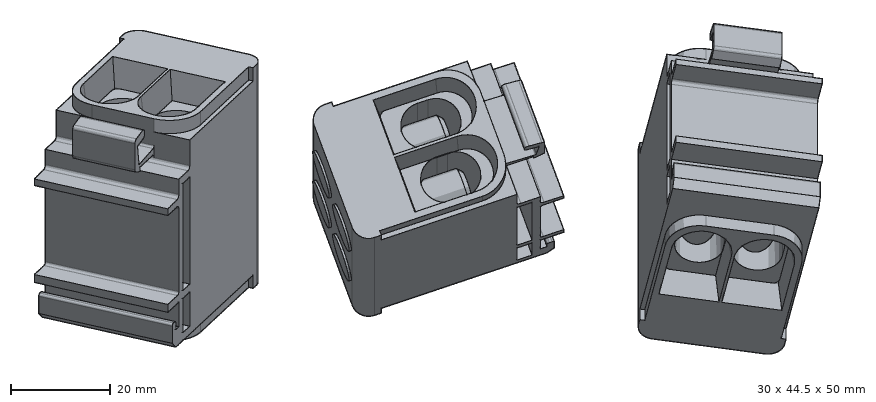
import cadquery as cq
import math


width = 30.0
depth = 34.0
height = 50.0
mid_height = height / 2
back_corner_radius = 3.5

cap_height = 3.0
cap_side_inset = 1.0
cap_length = 29.0
cap_corner_radius = 7.0

septum = 0.6
funnel_wall = 2.4
funnel_width = (width - septum) / 2 - funnel_wall
funnel_x = (septum + funnel_width) / 2
funnel_front = 1.5
funnel_back = 21.0
funnel_depth = 6.5
funnel_inset = 0.85
funnel_taper = math.degrees(math.atan(funnel_inset / funnel_depth))
relief_radius = 1.4

wire_x = 6.0
wire_y = 11.0
wire_width = 10.0
wire_length = 12.25
screw_diameter = 8.0
screw_tip_y = 7.5
screw_tip_chamfer = 1.0
screw_head_diameter = 10.0
screw_head_protrusion = 0.5
screw_spacing = 19.0

overlap = 1.0
wall = 1.8
web_outer = -5.0
web_inner = web_outer + wall
foot_bottom = cap_height
foot_top = 40.4
rib_tip = -10.0
upper_rib_bottom = 34.5
upper_rib_root_top = 36.2
upper_rib_tip_top = 36.0
upper_rib_fillet = 0.8
lower_rib_bottom = 12.55
lower_rib_top = lower_rib_bottom + wall
lower_rib_fillet = 0.6
hook_inner = -6.4
hook_outer = -8.0
hook_floor = 7.0
hook_top = 9.0
hook_chamfer = 1.6
hook_fillet = 0.5

clip_width = width - 2 * (cap_side_inset + cap_corner_radius)
groove_width = 1.6
groove_fillet = groove_width / 2
clip_bottom = foot_top + groove_width
clip_outer = -8.75
clip_tip = -4.4
clip_fillet = 0.8
clip_inner_fillet = 0.2
clip_root_fillet = 0.5
clip_root_top = 43.5
clip_root_margin = 2 * clip_root_fillet
clip_arm_end = -6.9
clip_arm_end_top = 42.8
clip_foot_y = -6.4
clip_foot_bottom = 41.0
clip_lower_corner = 41.9
clip_upper_corner = 49.05
clip_inner_corner_y = -7.6
clip_inner_corner_z = 47.25
clip_tip_bottom = 47.9


def rounded_prism(corners, length):
    """Prism centred on X whose YZ outline has corners (y, z, rounding radius)."""
    count = len(corners)
    outline = None
    for i, (y, z, radius) in enumerate(corners):
        corner = cq.Vector(y, z)
        to_previous = (cq.Vector(*corners[i - 1][:2]) - corner).normalized()
        to_next = (cq.Vector(*corners[(i + 1) % count][:2]) - corner).normalized()
        half_angle = to_previous.getAngle(to_next) / 2
        setback = radius / math.tan(half_angle)
        start = corner + to_previous * setback
        if outline is None:
            outline = cq.Workplane("YZ").moveTo(start.x, start.y)
        else:
            outline = outline.lineTo(start.x, start.y)
        if radius > 0:
            bisector = (to_previous + to_next).normalized()
            middle = corner + bisector * (radius / math.sin(half_angle) - radius)
            end = corner + to_next * setback
            outline = outline.threePointArc((middle.x, middle.y), (end.x, end.y))
    return outline.close().extrude(length / 2, both=True)


def slab(slab_width, front, back, bottom, top):
    """Box centred on X between the given Y and Z limits."""
    return cq.Workplane("XY", origin=(0, front, bottom)).box(
        slab_width, back - front, top - bottom, centered=(True, False, False)
    )


def make_housing():
    """Full-width core and back, with narrower rounded caps at the top and bottom."""
    core = slab(width, 0, depth, cap_height, height - cap_height)
    back = slab(width, cap_length, depth, 0, height)
    caps = slab(width - 2 * cap_side_inset, 0, depth, 0, height)
    caps = caps.edges("|Z and <Y").fillet(cap_corner_radius)
    housing = core.union(back).union(caps).clean()
    return housing.edges("|Z and >Y").fillet(back_corner_radius)


def make_funnel(side):
    """Tapered pocket in the top cap: square at the back, round at the front."""
    radius = funnel_width / 2
    arc_y = funnel_front + radius
    left = side * funnel_x - radius
    right = side * funnel_x + radius
    return (
        cq.Workplane("XY", origin=(0, 0, height))
        .moveTo(left, arc_y)
        .threePointArc((side * funnel_x, funnel_front), (right, arc_y))
        .lineTo(right, funnel_back)
        .lineTo(left, funnel_back)
        .close()
        .extrude(-funnel_depth, taper=funnel_taper)
    )


def make_corner_relief(side):
    """Through opening at the outer back corner of a funnel floor, bounded by a concave arc."""
    corner_x = side * (funnel_x + funnel_width / 2 - funnel_inset)
    corner_y = funnel_back - funnel_inset
    tangent_x = corner_x - side * relief_radius
    tangent_y = corner_y - relief_radius
    reach = relief_radius * math.sqrt(0.5)
    return (
        cq.Workplane("XY", origin=(0, 0, funnel_depth))
        .moveTo(tangent_x, corner_y)
        .lineTo(corner_x, corner_y)
        .lineTo(corner_x, tangent_y)
        .threePointArc((tangent_x + side * reach, tangent_y + reach), (tangent_x, corner_y))
        .close()
        .extrude(height - 2 * funnel_depth)
    )


def make_wire_passage(side):
    """Slot-shaped hole between the top and bottom funnel floors."""
    return (
        cq.Workplane("XY", origin=(side * wire_x, wire_y, funnel_depth))
        .slot2D(wire_length, wire_width, 90)
        .extrude(height - 2 * funnel_depth)
    )


def make_screw(x, z):
    """Clamping screw along Y with a chamfered tip and a head proud of the back face."""
    shank = (
        cq.Workplane("XZ", origin=(x, screw_tip_y, z))
        .circle(screw_diameter / 2)
        .extrude(screw_tip_y - depth)
        .faces("<Y")
        .chamfer(screw_tip_chamfer)
    )
    head = (
        cq.Workplane("XZ", origin=(x, depth - overlap, z))
        .circle(screw_head_diameter / 2)
        .extrude(-overlap - screw_head_protrusion)
    )
    return shank.union(head)


def make_rail_foot():
    """Web with two ribs and a hook, held off the housing by two windows."""
    foot = rounded_prism(
        [
            (overlap, foot_bottom, 0),
            (overlap, clip_bottom, 0),
            (0, clip_bottom, 0),
            (0, foot_top, groove_fillet),
            (web_outer, foot_top, 0),
            (web_outer, upper_rib_root_top, upper_rib_fillet),
            (rib_tip, upper_rib_tip_top, 0),
            (rib_tip, upper_rib_bottom, 0),
            (web_outer, upper_rib_bottom, upper_rib_fillet),
            (web_outer, lower_rib_top, lower_rib_fillet),
            (rib_tip, lower_rib_top, 0),
            (rib_tip, lower_rib_bottom, 0),
            (web_outer, lower_rib_bottom, 0),
            (web_outer, hook_floor, 0),
            (hook_inner, hook_floor, 0),
            (hook_inner, hook_top, hook_fillet),
            (hook_outer, hook_top, hook_fillet),
            (hook_outer, foot_bottom + hook_chamfer, 0),
            (hook_outer + hook_chamfer, foot_bottom, 0),
        ],
        width,
    )
    upper_window = slab(width, web_inner, 0, lower_rib_top, foot_top - wall)
    lower_window = slab(width, web_inner, 0, foot_bottom + wall, lower_rib_bottom)
    return foot.cut(upper_window).cut(lower_window)


def make_clip():
    """Thin spring arm with an upturned hooked end."""
    return rounded_prism(
        [
            (overlap, foot_top, 0),
            (0, foot_top, 0),
            (0, clip_bottom, groove_fillet),
            (clip_foot_y, clip_bottom, 0),
            (clip_foot_y, clip_foot_bottom, 0),
            (clip_outer, clip_lower_corner, clip_fillet),
            (clip_outer, clip_upper_corner, clip_fillet),
            (clip_tip, height, clip_fillet),
            (clip_tip, clip_tip_bottom, clip_fillet),
            (clip_inner_corner_y, clip_inner_corner_z, clip_inner_fillet),
            (clip_arm_end, clip_arm_end_top, clip_inner_fillet),
            (0, clip_root_top, clip_root_fillet),
            (0, clip_root_top + clip_root_margin, 0),
            (overlap, clip_root_top + clip_root_margin, 0),
        ],
        clip_width,
    )


body = make_housing().union(make_rail_foot()).union(make_clip())
for side in (-1, 1):
    top_funnel = make_funnel(side)
    body = body.cut(top_funnel)
    body = body.cut(top_funnel.mirror("XY", (0, 0, mid_height)))
    body = body.cut(make_wire_passage(side))
    body = body.cut(make_corner_relief(side))
for side in (-1, 1):
    for level in (-1, 1):
        body = body.union(make_screw(side * wire_x, mid_height + level * screw_spacing / 2))

result = body